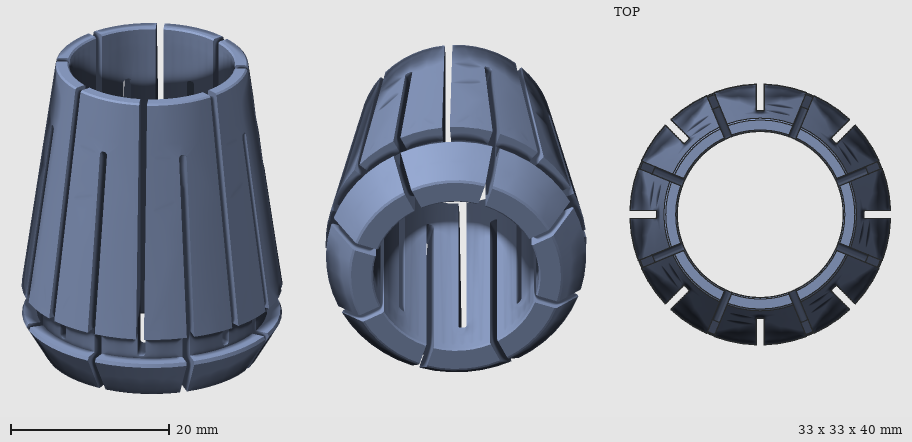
import cadquery as cq
import math

total_height = 40.0
bore_radius = 10.5
max_radius = 16.5

cone_base_z = 9.1
cone_half_angle = 8.0
cone_top_radius = max_radius - (total_height - cone_base_z) * math.tan(math.radians(cone_half_angle))

groove_radius = 14.6

nose_rim_z = 5.15
nose_top_z = 5.6
nose_rim_radius = 16.45
nose_half_angle = 30.0
nose_bevel_width = 0.2
nose_bottom_radius = nose_rim_radius - nose_rim_z * math.tan(math.radians(nose_half_angle))

edge_bevel = 0.2

slot_width = 1.0
slot_end_fillet = 0.4
slots_per_end = 8
slot_pitch = 360.0 / slots_per_end
lower_slot_top_z = 33.1
upper_slot_bottom_z = 5.9
cut_margin = 1.0


def make_body():
    """Revolve the cone, groove and nose around the Z axis, then bevel the end faces."""
    profile = (
        cq.Workplane("XZ")
        .moveTo(bore_radius, 0)
        .lineTo(nose_bottom_radius, 0)
        .lineTo(nose_rim_radius, nose_rim_z)
        .lineTo(nose_rim_radius - nose_bevel_width, nose_top_z)
        .lineTo(groove_radius, nose_top_z)
        .lineTo(groove_radius, cone_base_z)
        .lineTo(max_radius, cone_base_z)
        .lineTo(cone_top_radius, total_height)
        .lineTo(bore_radius, total_height)
        .close()
    )
    body = profile.revolve(360, (0, 0, 0), (0, 1, 0))
    return body.faces("<Z or >Z").edges().chamfer(edge_bevel)


def make_slot(closed_end_z, open_end_z):
    """Radial slot along -Y, with a filleted closed end and open past the part at the other."""
    slot_outline = (
        cq.Workplane("XZ")
        .moveTo(-slot_width / 2, open_end_z)
        .lineTo(-slot_width / 2, closed_end_z)
        .lineTo(slot_width / 2, closed_end_z)
        .lineTo(slot_width / 2, open_end_z)
        .close()
    )
    slot = slot_outline.extrude(max_radius + cut_margin)
    closed_end = "<Z" if closed_end_z < open_end_z else ">Z"
    return slot.faces(closed_end).edges("|Y").fillet(slot_end_fillet)


def cut_slot_ring(body, slot, first_angle):
    """Cut equally spaced copies of a slot around the Z axis."""
    for index in range(slots_per_end):
        angle = first_angle + index * slot_pitch
        body = body.cut(slot.rotate((0, 0, 0), (0, 0, 1), angle))
    return body


lower_slot = make_slot(lower_slot_top_z, -cut_margin)
upper_slot = make_slot(upper_slot_bottom_z, total_height + cut_margin)

collet = make_body()
collet = cut_slot_ring(collet, lower_slot, 0)
collet = cut_slot_ring(collet, upper_slot, slot_pitch / 2)
result = collet